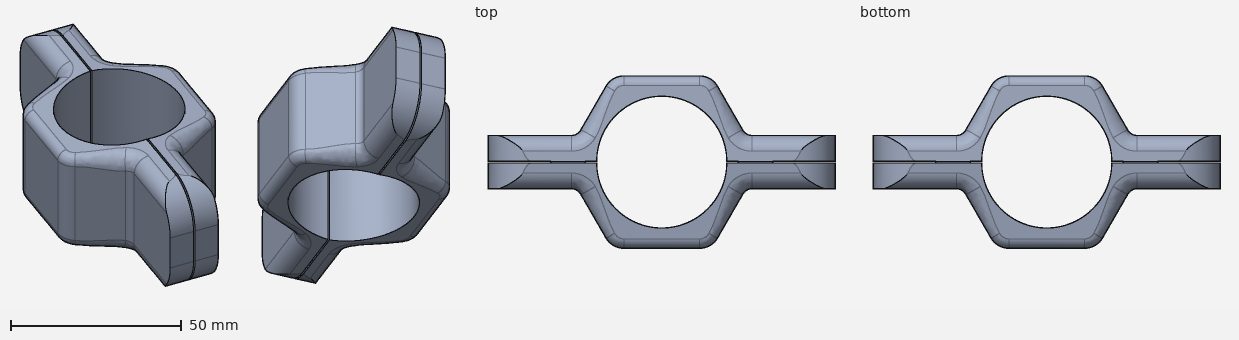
import cadquery as cq
import math

length = 101.6
width = 50.5
height = 36.2

gap = 0.5
bore_radius = 19.0
tab_thickness = 15.6
roof_angle = 5.0

hex_corner_radius = 6.1
tab_root_radius = 3.0
tab_end_radius = 12.7
hex_rim_radius = 3.0
tab_rim_radius = 5.0

pad_center_x = 27.4
pad_length = 10.2
pad_height = 4.1

half_length = length / 2
half_width = width / 2
half_height = height / 2
half_tab = tab_thickness / 2
half_gap = gap / 2

hex_corner_x = half_width * math.tan(math.radians(30))
tab_root_x = hex_corner_x + (half_width - half_tab) * math.tan(math.radians(30))


def upright_edges(body, x, y):
    """Select the pair of upright edges at +x and -x."""
    tolerance = 0.1
    edges = body.edges("|Z")
    return edges.filter(
        lambda e: abs(abs(e.Center().x) - x) < tolerance and abs(e.Center().y - y) < tolerance
    )


def half_blank():
    """Extrude half the hexagon with its tabs, then slope its top and bottom."""
    outline = [
        (-half_length, half_gap),
        (-half_length, half_tab),
        (-tab_root_x, half_tab),
        (-hex_corner_x, half_width),
        (hex_corner_x, half_width),
        (tab_root_x, half_tab),
        (half_length, half_tab),
        (half_length, half_gap),
    ]
    base = cq.Workplane("XY", origin=(0, 0, -half_height))
    body = base.polyline(outline).close().extrude(height)
    body = upright_edges(body, hex_corner_x, half_width).fillet(hex_corner_radius)
    body = upright_edges(body, tab_root_x, half_tab).fillet(tab_root_radius)

    edge_height = half_height - (half_width - half_gap) * math.tan(math.radians(roof_angle))
    roof = (
        cq.Workplane("YZ")
        .polyline([
            (half_gap, -half_height),
            (half_width, -edge_height),
            (half_width, edge_height),
            (half_gap, half_height),
        ])
        .close()
        .extrude(half_length, both=True)
    )
    return body.intersect(roof)


def round_rims(body):
    """Round both rims; the radius grows down each slanted side towards the tabs."""
    solid = body.val()
    fillet = cq.occ_impl.shapes.BRepFilletAPI_MakeFillet(solid.wrapped)
    slant_middle_y = (half_width + half_tab) / 2
    rim_margin = 0.01

    def on_rim(edge):
        level = edge.Center().z
        ends = (edge.startPoint(), edge.endPoint())
        along_rim = all(point.z * level > 0 for point in ends)
        outside = all(point.y > half_tab - rim_margin for point in ends)
        return along_rim and outside

    def radius_at(point):
        return hex_rim_radius if point.y > slant_middle_y else tab_rim_radius

    for edge in body.edges().vals():
        if not on_rim(edge):
            continue
        start_radius = radius_at(edge.startPoint())
        end_radius = radius_at(edge.endPoint())
        if fillet.Contour(edge.wrapped) == 0:
            fillet.Add(edge.wrapped)
        contour = fillet.Contour(edge.wrapped)
        for index in range(1, fillet.NbEdges(contour) + 1):
            if fillet.Edge(contour, index).IsSame(edge.wrapped):
                fillet.SetRadius(start_radius, end_radius, contour, index)
    return cq.Workplane(cq.Shape.cast(fillet.Shape()))


def tab_end_envelope():
    """Rounded slab that trims the tab ends."""
    return (
        cq.Workplane("XZ")
        .rect(length, height)
        .extrude(half_width, both=True)
        .edges("|Y")
        .fillet(tab_end_radius)
    )


def half_bore():
    """The bore is centred on the mating face of its half."""
    return (
        cq.Workplane("XY", origin=(0, half_gap, -half_height))
        .circle(bore_radius)
        .extrude(height)
    )


half = round_rims(half_blank()).intersect(tab_end_envelope()).cut(half_bore())
result = half.union(half.mirror("XZ"))

pads = (
    cq.Workplane("XY")
    .pushPoints([(-pad_center_x, 0), (pad_center_x, 0)])
    .box(pad_length, 2 * gap, pad_height)
)
result = result.union(pads)